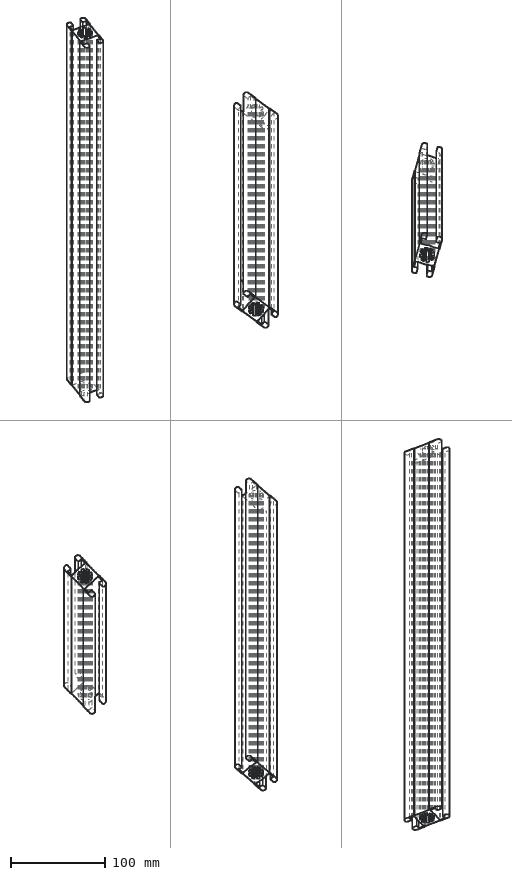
import cadquery as cq
import math

length = 500.0
width = 45.0
height = 22.5
outer_radius = 3.0

core_width = 20.0
flange_thickness = 1.5
lip_width = 6.5
mouth_opening = 11.0
mouth_radius = 1.5
root_radius = 0.5

crown_width = 7.5
crown_rise = 0.5

recess_mouth_width = 19.0
recess_floor_width = 17.5
recess_depth = 0.5

tooth_count = 8
tooth_tip_radius = 5.25
groove_radius = 7.75
tooth_tip_half_angle = 8.0
groove_half_angle = 12.0

half_width = width / 2
half_height = height / 2
half_core = core_width / 2


def block(x_start, x_end, size_y):
    """Full-length block between two X positions, centred on Y."""
    return (
        cq.Workplane("XY")
        .center((x_start + x_end) / 2, 0)
        .rect(abs(x_end - x_start), size_y)
        .extrude(length)
    )


def make_body():
    """Outer bar with rounded long edges."""
    return block(-half_width, half_width, height).edges("|Z").fillet(outer_radius)


def make_slot(side):
    """T-slot cutter on the +X (side = 1) or -X (side = -1) side."""
    floor_x = side * half_core
    lip_x = side * (half_width - lip_width)
    floor_face = ">X" if side < 0 else "<X"

    cavity = block(floor_x, lip_x, height - 2 * flange_thickness)
    cavity = cavity.faces(floor_face).edges("|Z").fillet(root_radius)
    crown = (
        cq.Workplane("XY")
        .moveTo(floor_x, -crown_width / 2)
        .threePointArc((floor_x + side * crown_rise, 0), (floor_x, crown_width / 2))
        .close()
        .extrude(length)
    )
    mouth = block(lip_x, side * half_width, mouth_opening)
    return cavity.cut(crown).union(mouth)


def round_mouth_edges(profile):
    """Round the outer edges of both slot mouths."""
    margin = 0.05
    reach_y = mouth_opening / 2 + margin
    for side in (-1, 1):
        face_x = side * half_width
        mouth_edges = cq.selectors.BoxSelector(
            (face_x - margin, -reach_y, 0),
            (face_x + margin, reach_y, length),
        )
        profile = profile.edges(mouth_edges).edges("|Z").fillet(mouth_radius)
    return profile


def make_recess(side):
    """Trapezoidal recess cutter on the +Y (side = 1) or -Y (side = -1) face."""
    face_y = side * half_height
    floor_y = side * (half_height - recess_depth)
    return (
        cq.Workplane("XY")
        .moveTo(-recess_mouth_width / 2, face_y)
        .lineTo(-recess_floor_width / 2, floor_y)
        .lineTo(recess_floor_width / 2, floor_y)
        .lineTo(recess_mouth_width / 2, face_y)
        .close()
        .extrude(length)
    )


def polar(radius, degrees):
    angle = math.radians(degrees)
    return (radius * math.cos(angle), radius * math.sin(angle))


def make_bore():
    """Star-shaped through bore with arcs on the tooth tips and groove floors."""
    pitch = 360 / tooth_count
    outline = cq.Workplane("XY").moveTo(*polar(tooth_tip_radius, -tooth_tip_half_angle))
    for index in range(tooth_count):
        tooth = index * pitch
        groove = tooth + pitch / 2
        next_tooth = tooth + pitch
        outline = (
            outline
            .threePointArc(
                polar(tooth_tip_radius, tooth),
                polar(tooth_tip_radius, tooth + tooth_tip_half_angle),
            )
            .lineTo(*polar(groove_radius, groove - groove_half_angle))
            .threePointArc(
                polar(groove_radius, groove),
                polar(groove_radius, groove + groove_half_angle),
            )
        )
        if index < tooth_count - 1:
            outline = outline.lineTo(*polar(tooth_tip_radius, next_tooth - tooth_tip_half_angle))
    return outline.close().extrude(length)


result = make_body()
for side in (-1, 1):
    result = result.cut(make_slot(side)).cut(make_recess(side))
result = round_mouth_edges(result)
result = result.cut(make_bore())